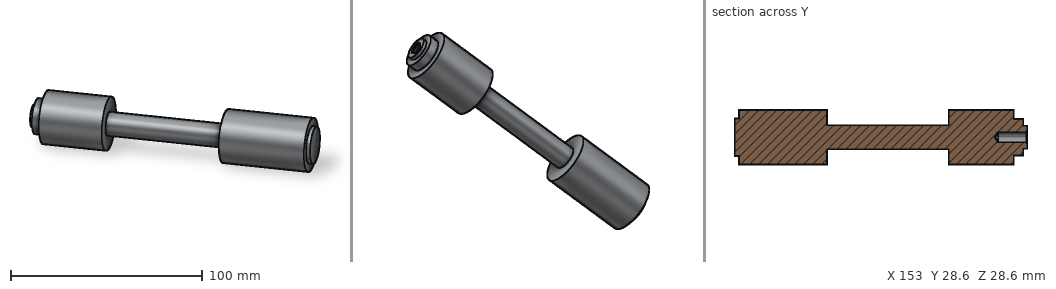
import cadquery as cq
import math

total_length = 153.0
left_end = -total_length / 2
right_end = total_length / 2

rod_diameter = 12.7
tip_diameter = 12.1
tip_length = 2.0

roller_diameter = 28.6
left_collar_diameter = 19.1
left_collar_length = 5.0
left_roller_length = 34.1

right_collar_diameter = 19.9
right_collar_length = 2.1
right_roller_length = 46.2

hole_diameter = 5.2
hole_depth = 15.3
mouth_diameter = 6.5
mouth_depth = (mouth_diameter - hole_diameter) / 2
drill_point_angle = 118.0
point_depth = hole_diameter / 2 / math.tan(math.radians(drill_point_angle / 2))


def cylinder(start, length, diameter):
    """Solid cylinder along +X, beginning at the given X position."""
    return cq.Workplane("YZ", origin=(start, 0, 0)).circle(diameter / 2).extrude(length)


def end_hole():
    """Cutting shape for the hole in the left end of the part."""
    outline = [
        (left_end, 0),
        (left_end, mouth_diameter / 2),
        (left_end + mouth_depth, hole_diameter / 2),
        (left_end + hole_depth, hole_diameter / 2),
        (left_end + hole_depth + point_depth, 0),
    ]
    profile = cq.Workplane("XY").polyline(outline).close()
    return profile.revolve(360, (0, 0, 0), (1, 0, 0))


left_collar_start = left_end + tip_length
left_roller_start = left_collar_start + left_collar_length
right_collar_start = right_end - right_collar_length
right_roller_start = right_collar_start - right_roller_length

tip = cylinder(left_end, tip_length, tip_diameter)
rod = cylinder(left_collar_start, total_length - tip_length, rod_diameter)
left_collar = cylinder(left_collar_start, left_collar_length, left_collar_diameter)
left_roller = cylinder(left_roller_start, left_roller_length, roller_diameter)
right_roller = cylinder(right_roller_start, right_roller_length, roller_diameter)
right_collar = cylinder(right_collar_start, right_collar_length, right_collar_diameter)

body = tip.union(rod).union(left_collar).union(left_roller).union(right_roller).union(right_collar)
result = body.cut(end_hole())